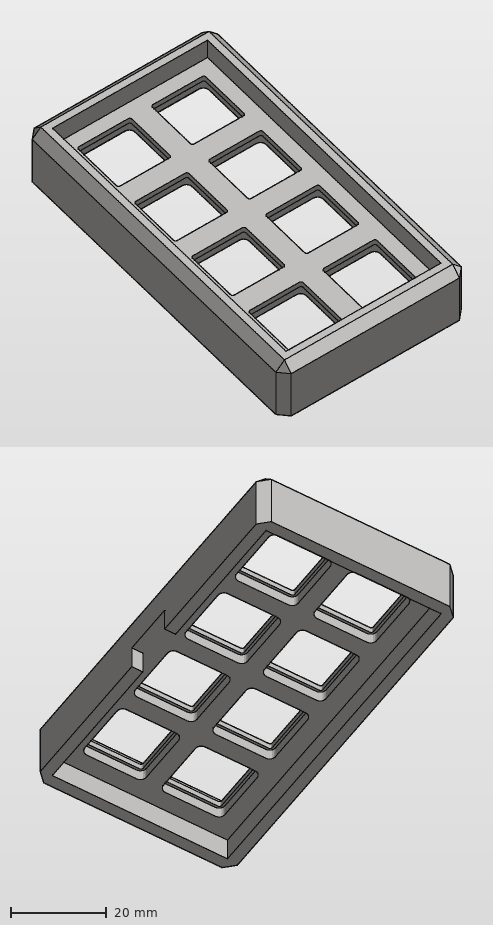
import cadquery as cq

length = 88.0
width = 49.0
height = 15.4
edge_chamfer = 2.3

rim_wall = 4.05
recess_depth = 5.4

columns = 4
rows = 2
pitch = 19.5
plate_thickness = 4.2
opening_side = 14.1
opening_radius = 0.5
lip_thickness = 1.5
relief_margin = 0.6
relief_side = opening_side + 2 * relief_margin
relief_radius = 1.5

base_wall = 2.7

notch_width = 12.7

plate_top = height - recess_depth
lip_bottom = plate_top - lip_thickness
plate_bottom = plate_top - plate_thickness


def block(size_x, size_y, bottom, top, center_y=0):
    """Box centred on X = 0 between two heights."""
    return (
        cq.Workplane("XY")
        .workplane(offset=bottom)
        .center(0, center_y)
        .rect(size_x, size_y)
        .extrude(top - bottom)
    )


def opening_grid(side, radius, bottom, top):
    """Round-cornered square prisms at every grid position."""
    return (
        cq.Workplane("XY")
        .workplane(offset=bottom)
        .rarray(pitch, pitch, columns, rows)
        .rect(side, side)
        .extrude(top - bottom)
        .edges("|Z")
        .fillet(radius)
    )


case = block(length, width, 0, height).edges("|Z or >Z").chamfer(edge_chamfer)

recess = block(length - 2 * rim_wall, width - 2 * rim_wall, plate_top, height)
hollow = block(length - 2 * base_wall, width - 2 * base_wall, 0, plate_bottom)

openings = opening_grid(opening_side, opening_radius, lip_bottom, plate_top)
reliefs = opening_grid(relief_side, relief_radius, plate_bottom, lip_bottom)

notch = block(notch_width, base_wall, 0, plate_bottom, center_y=(width - base_wall) / 2)

result = case.cut(recess).cut(hollow).cut(openings).cut(reliefs).cut(notch)